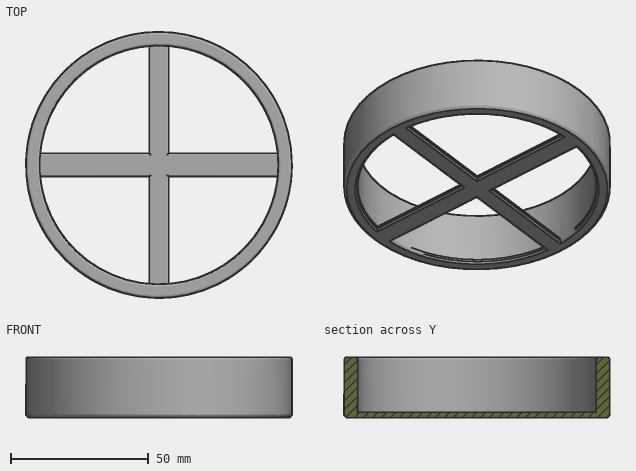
import cadquery as cq

outer_diameter = 96.5
bore_diameter = 86.5
height = 22.0
edge_round = 1.0
base_chamfer = 1.0

spoke_x_width = 8.5
spoke_y_width = 7.1
spoke_thickness = 2.0
spoke_round = 0.7
spoke_chamfer = 0.7

outer_radius = outer_diameter / 2
bore_radius = bore_diameter / 2
wall_thickness = outer_radius - bore_radius
spoke_length = bore_diameter + wall_thickness


def make_ring():
    """Ring with a rounded rim and a chamfered base whose upper corners are blended into the walls."""
    ring = cq.Workplane("XY").circle(outer_radius).circle(bore_radius).extrude(height)
    ring = ring.faces(">Z").edges().fillet(edge_round)
    ring = ring.faces("<Z").edges().chamfer(base_chamfer)
    return ring.edges("%CIRCLE").edges(">>Z[1]").fillet(edge_round)


def make_spoke(x_size, y_size, direction):
    """Flat bar on the base plane, rounded along its top edges and chamfered along its bottom ones."""
    spoke = cq.Workplane("XY").box(x_size, y_size, spoke_thickness, centered=(True, True, False))
    spoke = spoke.edges(direction).edges(">Z").fillet(spoke_round)
    return spoke.edges(direction).edges("<Z").chamfer(spoke_chamfer)


spoke_x = make_spoke(spoke_length, spoke_x_width, "|X")
spoke_y = make_spoke(spoke_y_width, spoke_length, "|Y")

result = make_ring().union(spoke_x).union(spoke_y)